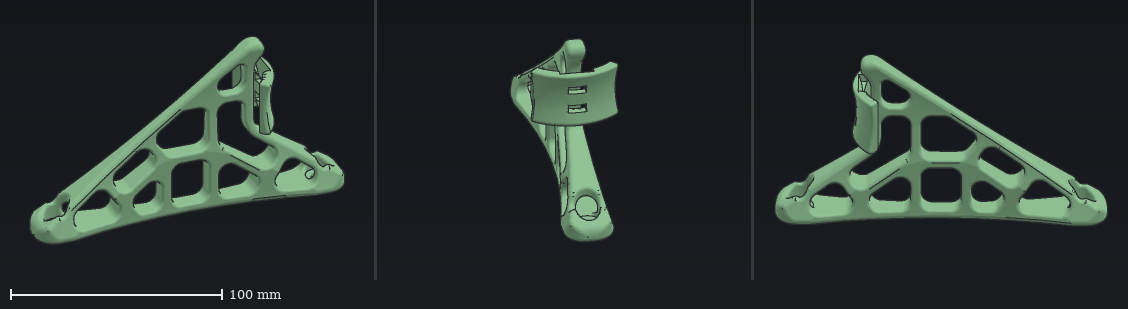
import cadquery as cq
import math

half_length = 78.7
slope_angle = 35.5
front_apex = 62.5
rear_apex = 63.1
bar = 5.0
column_rear = 33.2
post_y = 12.0
upper_tie_z = 56.6
lower_tie_z = 29.7
front_brace_apex = 38.7
rear_brace_apex = 40.6
rear_web = 24.9
front_web = 20.8
upper_front_web = 7.2
window_round = 5.0
window_top_round = 2.5
elbow_round = 7.5
nose_round = 7.1

tip_round = 5.0
tip_y = 33.2
tip_lean = 40.0
tip_bend_round = 10.0
tip_side_round = 4.7
tip_clearance = 0.5

pad_half_width = 12.2
pad_corner_round = 10.2
plan_half_waist = 5.0
plan_waist_radius = 267.5
rise_half_waist = 3.23
rise_waist_radius = 163.6

outer_round = 2.5
window_rim_round = 1.5
base_round = 2.5

screw_y = 66.4
screw_diameter = 6.5
counterbore_diameter = 12.0
screw_rim_round = 1.0
bore_rim_round = 1.9
counterbore_top = 31.5
cutter_reach = 15.7

saddle_height = 27.5
saddle_z = 57.0
saddle_inner_radius = 25.0
saddle_outer_radius = 31.2
saddle_waist_depth = 2.4
saddle_axis_y = 11.5
saddle_half_angle = 45.0
saddle_round = 1.5
pocket_half_width = 8.2
pocket_rim_y = 39.2
pocket_root_y = 36.7
pocket_depth = 7.4
pocket_side_depth = 3.6
slot_width = 8.8
slot_height = 3.8
slot_z = 4.95

slope_y = math.cos(math.radians(slope_angle))
slope_z = math.sin(math.radians(slope_angle))
half_bar = bar / 2


def line(normal_y, normal_z, offset):
    """A straight line in the YZ plane: normal_y * y + normal_z * z = offset."""
    return normal_y, normal_z, offset


def shifted(base_line, distance):
    normal_y, normal_z, offset = base_line
    return normal_y, normal_z, offset + distance


def crossing(first, second):
    a1, b1, c1 = first
    a2, b2, c2 = second
    determinant = a1 * b2 - a2 * b1
    return (c1 * b2 - c2 * b1) / determinant, (a1 * c2 - a2 * c1) / determinant


def rounded_outline(lines, radii):
    """Closed outline whose sides lie on the lines; radii[i] rounds the corner of lines i and i + 1."""
    count = len(lines)
    corners = [crossing(lines[i], lines[(i + 1) % count]) for i in range(count)]
    arcs = []
    for i, corner in enumerate(corners):
        apex = cq.Vector(*corner)
        to_last = (cq.Vector(*corners[i - 1]) - apex).normalized()
        to_next = (cq.Vector(*corners[(i + 1) % count]) - apex).normalized()
        half_angle = to_last.getAngle(to_next) / 2
        bisector = (to_last + to_next).normalized()
        setback = radii[i] / math.tan(half_angle)
        sagitta_point = apex + bisector * (radii[i] / math.sin(half_angle) - radii[i])
        arcs.append((apex + to_last * setback, sagitta_point, apex + to_next * setback))
    outline = cq.Workplane("YZ").moveTo(*arcs[-1][2].toTuple()[:2])
    for start, middle, end in arcs:
        outline = outline.lineTo(start.x, start.y)
        if (end - start).Length > 1.57e-06:
            outline = outline.threePointArc((middle.x, middle.y), (end.x, end.y))
    return outline.close()


base_line = line(0, 1, 0)
front_end = line(1, 0, -half_length)
rear_end = line(1, 0, half_length)
front_slope = line(-slope_z, slope_y, front_apex * slope_y)
rear_slope = line(slope_z, slope_y, rear_apex * slope_y)
column_face = line(1, 0, column_rear)
tip_z = front_apex + (tip_y * slope_z - tip_round) / slope_y
lean_y = math.cos(math.radians(tip_lean))
lean_z = -math.sin(math.radians(tip_lean))
tip_rear = line(lean_y, lean_z, lean_y * tip_y + lean_z * tip_z + tip_round)

front_post = line(1, 0, -post_y)
rear_post = line(1, 0, post_y)
upper_tie = line(0, 1, upper_tie_z)
lower_tie = line(0, 1, lower_tie_z)
front_brace = line(-slope_z, slope_y, front_brace_apex * slope_y)
rear_brace = line(slope_z, slope_y, rear_brace_apex * slope_y)
rear_web_line = line(slope_y, -slope_z, rear_web)
front_web_line = line(slope_y, slope_z, -front_web)
upper_front_web_line = line(slope_y, slope_z, upper_front_web)

floor = shifted(base_line, bar)
front_ceiling = shifted(front_slope, -bar)
rear_ceiling = shifted(rear_slope, -bar)
column_wall = shifted(column_face, -bar)


def windows():
    """The window outlines, each as its side lines in order and the radius of each corner."""
    r = window_round
    return [
        ([column_wall, shifted(upper_tie, half_bar), front_ceiling], [r, r, window_top_round]),
        (
            [column_wall, rear_ceiling, shifted(rear_web_line, -half_bar), shifted(rear_brace, half_bar),
             shifted(rear_post, half_bar), shifted(upper_tie, -half_bar)],
            [elbow_round + bar, r, r, r, r, r],
        ),
        (
            [shifted(rear_post, -half_bar), shifted(lower_tie, half_bar),
             shifted(upper_front_web_line, half_bar), front_ceiling, shifted(upper_tie, -half_bar)],
            [r, r, r, r, r],
        ),
        (
            [shifted(upper_front_web_line, -half_bar), shifted(front_brace, half_bar),
             shifted(front_web_line, half_bar), front_ceiling],
            [r, r, r, r],
        ),
        ([rear_ceiling, floor, shifted(rear_web_line, half_bar)], [r, r, r]),
        (
            [shifted(rear_brace, -half_bar), shifted(rear_web_line, -half_bar), floor,
             shifted(rear_post, half_bar)],
            [r, r, r, r],
        ),
        (
            [shifted(rear_post, -half_bar), floor, shifted(front_post, half_bar),
             shifted(lower_tie, -half_bar)],
            [r, r, r, r],
        ),
        (
            [shifted(front_post, -half_bar), floor, shifted(front_web_line, half_bar),
             shifted(front_brace, -half_bar)],
            [r, r, r, r],
        ),
        ([shifted(front_web_line, -half_bar), floor, front_ceiling], [r, r, r]),
    ]


def waisted_plan():
    """Block with the frame's outline as seen from above, narrow at y = 0 and with a round pad at each end."""
    flare = pad_half_width - plan_half_waist
    flare_y = math.sqrt(2 * plan_waist_radius * flare - flare**2)
    outline = (
        cq.Workplane("XY")
        .moveTo(pad_half_width, -half_length)
        .lineTo(pad_half_width, -flare_y)
        .threePointArc((plan_half_waist, 0), (pad_half_width, flare_y))
        .lineTo(pad_half_width, half_length)
        .lineTo(-pad_half_width, half_length)
        .lineTo(-pad_half_width, flare_y)
        .threePointArc((-plan_half_waist, 0), (-pad_half_width, -flare_y))
        .lineTo(-pad_half_width, -half_length)
        .close()
        .extrude(94.4)
    )
    return outline.edges("|Z and (>Y or <Y)").fillet(pad_corner_round)


def waisted_rise():
    def half_width(z):
        rise = z - upper_tie_z
        return rise_half_waist + rise_waist_radius - math.sqrt(rise_waist_radius**2 - rise**2)

    top = tip_z + tip_round + tip_clearance
    block = (
        cq.Workplane("XZ")
        .moveTo(half_width(0), 0)
        .threePointArc((rise_half_waist, upper_tie_z), (half_width(top), top))
        .lineTo(-half_width(top), top)
        .threePointArc((-rise_half_waist, upper_tie_z), (-half_width(0), 0))
        .close()
        .extrude(half_length, both=True)
    )
    return block.edges("|Y and >Z").fillet(tip_side_round)


def rounded_block():
    """The solid wedge of the frame with its outer edges rounded, before the windows are cut."""
    side = rounded_outline(
        [base_line, rear_end, rear_slope, column_face, tip_rear, front_slope, front_end],
        [0, nose_round, elbow_round, tip_bend_round, tip_round, nose_round, 0],
    )
    block = side.extrude(pad_half_width, both=True).intersect(waisted_plan()).intersect(waisted_rise())
    block = block.newObject([edge for edge in block.edges().vals() if is_side_edge(edge)])
    return block.fillet(outer_round).faces("<Z").edges().fillet(base_round)


def is_side_edge(edge):
    """True for an edge that borders a side face, apart from the base and the upright corners."""
    box = edge.BoundingBox()
    above_base = box.zmax > 0.02
    upright = box.xlen < 0.02 and box.ylen < 0.02
    crosswise = box.ylen < 0.02
    return above_base and not upright and not crosswise


def cut_windows(block):
    cutters = [rounded_outline(*window).extrude(cutter_reach, both=True).val() for window in windows()]
    cutter = cq.Compound.makeCompound(cutters)
    block = block.cut(cq.Workplane(cutter))

    def is_rim(edge):
        middle = edge.positionAt(0.5)
        across = edge.BoundingBox().xmin * edge.BoundingBox().xmax < 0
        return not across and cutter.distance(cq.Vertex.makeVertex(*middle.toTuple())) < 0.002

    return block.newObject([edge for edge in block.edges().vals() if is_rim(edge)]).fillet(window_rim_round)


def screw_cutter():
    """Screw hole with a flared mouth and a counterbore above the floor of the frame."""
    hole_radius = screw_diameter / 2
    bore_radius = counterbore_diameter / 2
    mouth = screw_rim_round
    turn = mouth * (1 - math.sqrt(0.5))
    return (
        cq.Workplane("XZ")
        .lineTo(hole_radius, 0)
        .lineTo(hole_radius, bar - mouth)
        .threePointArc((hole_radius + turn, bar - turn), (hole_radius + mouth, bar))
        .lineTo(bore_radius, bar)
        .lineTo(bore_radius, counterbore_top)
        .lineTo(0, counterbore_top)
        .close()
        .revolve(360, (0, 0, 0), (0, 1, 0))
    )


def make_frame():
    frame = cut_windows(rounded_block())
    for y in (-screw_y, screw_y):
        frame = frame.cut(screw_cutter().translate((0, y, 0)))
        frame = round_bore_edges(frame, y, bore_rim_round, lambda edge: edge.BoundingBox().zmax > 15.7)
        frame = round_bore_edges(frame, y, window_rim_round, lambda edge: edge.BoundingBox().zmax < 15.7)
    return frame


def round_bore_edges(frame, y, radius, wanted):
    def on_bore(edge):
        middle = edge.positionAt(0.5)
        radial_gap = math.hypot(middle.x, middle.y - y) - counterbore_diameter / 2
        return abs(radial_gap) < 0.02 and edge.BoundingBox().zmin > bar + 0.2 and wanted(edge)

    return frame.newObject([edge for edge in frame.edges().vals() if on_bore(edge)]).fillet(radius)


def make_saddle():
    half = saddle_height / 2
    profile = (
        cq.Workplane("XZ")
        .moveTo(saddle_inner_radius, -half)
        .lineTo(saddle_outer_radius, -half)
        .threePointArc((saddle_outer_radius - saddle_waist_depth, 0), (saddle_outer_radius, half))
        .lineTo(saddle_inner_radius, half)
        .close()
    )
    arch = profile.revolve(2 * saddle_half_angle, (0, 0, 0), (0, 1, 0))
    arch = arch.edges().fillet(saddle_round)
    arch = arch.rotate((0, 0, 0), (0, 0, 1), saddle_half_angle).translate((0, saddle_axis_y, 0))
    for side in (1, -1):
        arch = arch.cut(pocket_cutter(side))
        arch = arch.cut(
            cq.Workplane("XY").box(slot_width, 63, slot_height).translate((0, saddle_axis_y + 31.5, side * slot_z))
        )
    return arch.translate((0, 0, saddle_z))


def pocket_cutter(side):
    """Wedge with a pointed lower end, opening the inner face of the saddle at its top or bottom rim."""
    rim = side * saddle_height / 2
    wedge = (
        cq.Workplane("YZ")
        .moveTo(saddle_axis_y, rim)
        .lineTo(pocket_rim_y, rim)
        .lineTo(pocket_root_y, rim - side * pocket_depth)
        .lineTo(saddle_axis_y, rim - side * pocket_depth)
        .close()
        .extrude(pocket_half_width, both=True)
    )
    point = (
        cq.Workplane("XZ")
        .moveTo(-pocket_half_width, rim)
        .lineTo(-pocket_half_width, rim - side * pocket_side_depth)
        .lineTo(0, rim - side * pocket_depth)
        .lineTo(pocket_half_width, rim - side * pocket_side_depth)
        .lineTo(pocket_half_width, rim)
        .close()
        .extrude(-2 * saddle_outer_radius)
    )
    return wedge.intersect(point)


frame = make_frame()
saddle = make_saddle()
result = cq.Compound.makeCompound([frame.val(), saddle.val()])